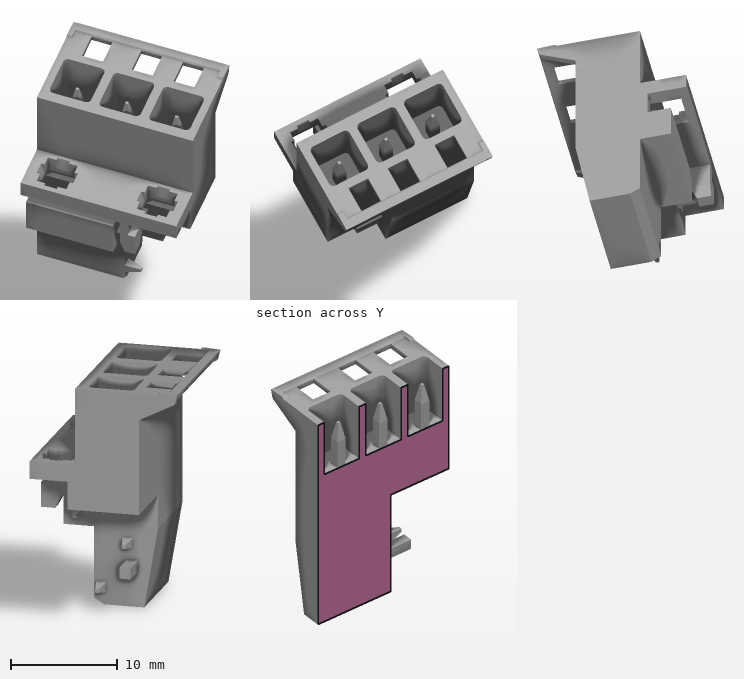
import cadquery as cq


width = 15.6
foot_width = 8.72
body_depth = 6.2
body_top = 23.06
overall_height = 23.25
overall_depth = 14.37
head_bottom = 11.15
foot_chamfer_depth = 0.95
foot_chamfer_height = 0.55
foot_back = 4.85
taper_top = 7.9

lip_back = 9.93
lip_back_top = 23.15
lip_underside_back = 9.7
lip_underside_height = 22.23
lip_plate_bottom = 22.55
lip_root_height = 20.45
rim_arm_width = 0.53
rim_inner_y = 9.07
rim_arm_end = 8.18
rim_slope = 0.19

ledge_front = lip_back - overall_depth
ledge_top = 15.6
ledge_bottom = 13.88
ledge_wall_y = -0.72
block_front = -2.98
block_top = 11.25
block_bottom = 7.58

contact_pitch = 4.98
contact_xs = [width / 2 + i * contact_pitch for i in (-1, 0, 1)]
contact_y = 3.25

pocket_width = 4.12
pocket_length = 4.45
pocket_radius = 0.46
pocket_depth = 6.0
window_width = 2.1
window_front = 6.3
window_back = rim_inner_y - rim_slope
window_lefts = [2.19, 7.15, 11.35]

socket_xs = [2.81, 12.83]
socket_y = -2.15
socket_width = 2.98
socket_length = 3.07
ramp_width = 1.25
ramp_out_x = 0.35
ramp_out_y = 0.28
ramp_depth = 1.2
relief_half_width = 1.72
relief_depth = 0.55
relief_bottom = 13.11

hook_left = 9.95
hook_stem_right = 10.7
hook_right = 11.45
hook_barb_top = 12.4
hook_slope_top = 11.15
hook_bottom = 9.93
hook_tip_left = 10.4
hook_flat_back = -3.07
hook_slope_back = -2.45
hook_root_step = 0.02
hook_root_height = 0.28

bar_size = 1.07
bar_right = hook_right
bar_y = 3.72
bar_z = 4.02

pin_size = 0.98
pin_seat = 2.0
contact_tip_size = 0.28
contact_tip_length = 1.85
contact_tip_z = 21.9
side_tip_size = 0.35
side_tip_length = 1.5
side_pin_places = [(-1.53, 8.88), (contact_y, 6.23), (0.67, 1.72)]


def box(x0, x1, y0, y1, z0, z1):
    """Block between two opposite corners."""
    return cq.Workplane("XY").box(x1 - x0, y1 - y0, z1 - z0, centered=False).translate((x0, y0, z0))


def side_profile(points, x0, x1):
    """Solid with a (Y, Z) outline, running from x0 to x1."""
    return cq.Workplane("YZ").polyline(points).close().extrude(x1 - x0).translate((x0, 0, 0))


def make_shell():
    """Wide head on a narrower foot, with the lip, ledge and guide block."""
    outline = [
        (foot_chamfer_depth, 0),
        (0, foot_chamfer_height),
        (0, body_top),
        (rim_arm_end - rim_slope, body_top),
        (rim_arm_end, overall_height),
        (lip_back, lip_back_top),
        (lip_underside_back, lip_underside_height),
        (body_depth, lip_root_height),
        (body_depth, taper_top),
        (foot_back, 0),
    ]
    shell = side_profile(outline, 0, width)
    shell = shell.union(box(0, width, ledge_wall_y, 0, head_bottom, ledge_top))
    shell = shell.union(box(0, width, ledge_front, 0, ledge_bottom, ledge_top))
    shell = shell.union(box(0, foot_width, block_front, 0, block_bottom, block_top))
    return shell.cut(box(foot_width, width, ledge_front, lip_back, 0, head_bottom))


def make_rim_recess():
    """Shallow recess that leaves a rim along the back of the lip and two short arms."""
    outline = [
        (0, body_top),
        (rim_inner_y - rim_slope, body_top),
        (rim_inner_y, overall_height),
        (0, overall_height),
    ]
    return side_profile(outline, rim_arm_width, width - rim_arm_width)


def make_lip_hollow():
    """Hollow under the lip that leaves a thin top plate between two side cheeks."""
    return box(rim_arm_width, width - rim_arm_width, body_depth, lip_back, taper_top, lip_plate_bottom)


def make_pocket(x):
    """Round-cornered pocket around one contact pin."""
    return (
        cq.Workplane("XY", origin=(x, contact_y, body_top))
        .rect(pocket_width, pocket_length)
        .extrude(-pocket_depth)
        .edges("|Z")
        .fillet(pocket_radius)
    )


def make_window(left):
    """Opening through the lip behind the pockets."""
    return box(left, left + window_width, window_front, window_back, lip_plate_bottom, body_top)


def make_ramp(half_opening, ramp_out):
    """Sloping cut across a socket, widest at the top of the ledge; centred on the socket along X."""
    outline = [
        (half_opening + ramp_out, 0),
        (half_opening, -ramp_depth),
        (-half_opening, -ramp_depth),
        (-half_opening - ramp_out, 0),
    ]
    return cq.Workplane("XZ").polyline(outline).close().extrude(ramp_width / 2, both=True)


def make_socket(x):
    """Square hole through the ledge, with a lead-in ramp on each side and a relief below."""
    half_width = socket_width / 2
    half_length = socket_length / 2
    hole = box(-half_width, half_width, -half_length, half_length, relief_bottom - ledge_top, 0)
    ramps_x = make_ramp(half_width, ramp_out_x)
    ramps_y = make_ramp(half_length, ramp_out_y).rotate((0, 0, 0), (0, 0, 1), 90)
    socket = hole.union(ramps_x).union(ramps_y).translate((x, socket_y, ledge_top))

    relief_back_half = relief_half_width - relief_depth
    relief = (
        cq.Workplane("XY", origin=(x, ledge_wall_y, relief_bottom))
        .polyline([
            (-relief_half_width, 0),
            (-relief_back_half, relief_depth),
            (relief_back_half, relief_depth),
            (relief_half_width, 0),
        ])
        .close()
        .extrude(ledge_bottom - relief_bottom)
    )
    return socket.union(relief)


def make_hook():
    """Snap hook hanging from the ledge, with its barb to the right."""
    outline = [
        (hook_left - hook_root_step, ledge_bottom),
        (hook_stem_right, ledge_bottom),
        (hook_stem_right, hook_barb_top),
        (hook_right, hook_barb_top),
        (hook_right, hook_bottom),
        (hook_tip_left, hook_bottom),
        (hook_left, hook_slope_top),
        (hook_left, ledge_bottom - hook_root_height),
        (hook_left - hook_root_step, ledge_bottom - hook_root_height),
    ]
    hook = cq.Workplane("XZ").polyline(outline).close().extrude(ledge_wall_y - ledge_front)
    hook = hook.translate((0, ledge_wall_y, 0))
    back_relief = [
        (hook_flat_back, hook_bottom),
        (hook_slope_back, head_bottom),
        (ledge_wall_y, head_bottom),
        (ledge_wall_y, hook_bottom),
    ]
    return hook.cut(side_profile(back_relief, hook_left, hook_right))


def make_bar():
    """Square locating bar on the right side of the foot."""
    half = bar_size / 2
    return box(foot_width, bar_right, bar_y - half, bar_y + half, bar_z - half, bar_z + half)


def make_pin(tip_size, tip_length, shaft_length):
    """Square pin along +Z with a tapered tip; the taper starts at the origin."""
    shaft = cq.Workplane("XY").rect(pin_size, pin_size).extrude(-shaft_length)
    tip = (
        cq.Workplane("XY")
        .rect(pin_size, pin_size)
        .workplane(offset=tip_length)
        .rect(tip_size, tip_size)
        .loft(ruled=True)
    )
    return shaft.union(tip)


def make_contact_pin(x):
    """Upright pin standing in a pocket and seated in its floor."""
    taper_z = contact_tip_z - contact_tip_length
    shaft_length = taper_z - (body_top - pocket_depth) + pin_seat
    pin = make_pin(contact_tip_size, contact_tip_length, shaft_length)
    return pin.translate((x, contact_y, taper_z))


def make_side_pin(y, z):
    """Pin pointing to +X out of the right side of the foot."""
    pin = make_pin(side_tip_size, side_tip_length, pin_seat)
    return pin.rotate((0, 0, 0), (0, 1, 0), 90).translate((foot_width, y, z))


def make_housing(pins):
    """Shell with its hook, bar and openings, and a seat for each pin."""
    housing = make_shell().union(make_bar()).cut(make_rim_recess()).cut(make_lip_hollow())
    for x in contact_xs:
        housing = housing.cut(make_pocket(x))
    for left in window_lefts:
        housing = housing.cut(make_window(left))
    for x in socket_xs:
        housing = housing.cut(make_socket(x))
    housing = housing.union(make_hook())
    for pin in pins:
        housing = housing.cut(pin)
    return housing


contact_pins = [make_contact_pin(x) for x in contact_xs]
side_pins = [make_side_pin(y, z) for y, z in side_pin_places]
pins = contact_pins + side_pins
housing = make_housing(pins)

result = cq.Compound.makeCompound([housing.val(), *[pin.val() for pin in pins]])